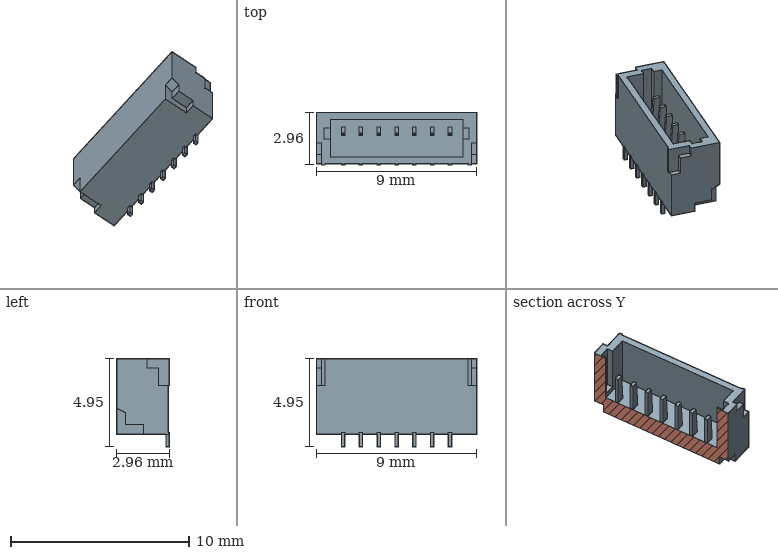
import cadquery as cq

LENGTH = 9.0
DEPTH = 2.9
HEIGHT = 4.25
BACK = DEPTH / 2
FRONT = -DEPTH / 2
OVERLAP = 0.09

END_WALL = 0.78
BACK_WALL = 0.405
FRONT_WALL = 0.405
CAVITY_FLOOR = 1.215

KEYWAY_END_WALL = 0.43
KEYWAY_BACK = 0.89
KEYWAY_WIDTH = 0.6
KEYWAY_FLOOR = 1.5

UPPER_RECESS_INSET = 0.3
UPPER_STEP_BACK = 1.71
UPPER_STEP_DROP = 0.51
LOWER_STEP_BACK = 2.36
UPPER_RECESS_DROP = 1.52

PROUD = 0.06
STRIP_WIDTH = 0.19

LOWER_RECESS_INSET = 0.6
BEVEL_TOP = 1.47
BEVEL_BOTTOM = 1.215
LOWER_RECESS_DEPTH = 0.49
FOOT_RECESS_DEPTH = 1.49
FOOT_RECESS_HEIGHT = 0.54

PIN_COUNT = 7
PIN_WIDTH = 0.2
END_TO_PIN = 1.5
PIN_PITCH = (LENGTH - 2 * END_TO_PIN) / (PIN_COUNT - 1)
PIN_BACK = 0.82
PIN_ROOT_DEPTH = 0.48
PIN_TIP_DEPTH = 0.35
PIN_TOP = 3.0

LEAD_THICKNESS = 0.2
LEAD_TOP = 0.11
LEAD_DROP = 0.7


def box(x_min, x_max, y_min, y_max, z_min, z_max):
    """Box given by its limits along each axis."""
    size = (x_max - x_min, y_max - y_min, z_max - z_min)
    return cq.Workplane("XY").box(*size, centered=False).translate((x_min, y_min, z_min))


def side_profile(points, x_min, x_max):
    """Prism along X from a (Y, Z) outline."""
    return cq.Workplane("YZ", origin=(x_min, 0, 0)).polyline(points).close().extrude(x_max - x_min)


def both_ends(solid):
    """The solid at the -X end together with its mirror image at the +X end."""
    return solid.union(solid.mirror("YZ"))


def cavity():
    half = LENGTH / 2 - END_WALL
    key_half = LENGTH / 2 - KEYWAY_END_WALL
    key_y = BACK - KEYWAY_BACK
    top = HEIGHT + OVERLAP
    main = box(-half, half, FRONT + FRONT_WALL, BACK - BACK_WALL, CAVITY_FLOOR, top)
    keyways = box(-key_half, key_half, key_y - KEYWAY_WIDTH, key_y, KEYWAY_FLOOR, top)
    return main.union(keyways)


def upper_recess():
    step_y = BACK - UPPER_STEP_BACK
    lower_y = BACK - LOWER_STEP_BACK
    outline = [
        (step_y, HEIGHT + OVERLAP),
        (step_y, HEIGHT - UPPER_STEP_DROP),
        (lower_y, HEIGHT - UPPER_STEP_DROP),
        (lower_y, HEIGHT - UPPER_RECESS_DROP),
        (FRONT - OVERLAP, HEIGHT - UPPER_RECESS_DROP),
        (FRONT - OVERLAP, HEIGHT + OVERLAP),
    ]
    return side_profile(outline, -LENGTH / 2 - OVERLAP, -LENGTH / 2 + UPPER_RECESS_INSET)


def lower_recess():
    wall_y = BACK - LOWER_RECESS_DEPTH
    foot_y = BACK - FOOT_RECESS_DEPTH
    outline = [
        (BACK, BEVEL_TOP),
        (wall_y, BEVEL_BOTTOM),
        (wall_y, FOOT_RECESS_HEIGHT),
        (foot_y, FOOT_RECESS_HEIGHT),
        (foot_y, -OVERLAP),
        (BACK + OVERLAP, -OVERLAP),
        (BACK + OVERLAP, BEVEL_TOP),
    ]
    return side_profile(outline, -LENGTH / 2 - OVERLAP, -LENGTH / 2 + LOWER_RECESS_INSET)


def front_strip():
    x_min = -LENGTH / 2 + UPPER_RECESS_INSET
    z_min = HEIGHT - UPPER_RECESS_DROP
    return box(x_min, x_min + STRIP_WIDTH, FRONT - PROUD, FRONT + OVERLAP, z_min, HEIGHT)


def contact(x):
    """Pin whose front face tapers up from the cavity floor, and its solder lead, centred at x."""
    x_min = x - PIN_WIDTH / 2
    x_max = x + PIN_WIDTH / 2
    pin_y = BACK - PIN_BACK
    root_z = CAVITY_FLOOR - OVERLAP
    outline = [
        (pin_y, root_z),
        (pin_y, PIN_TOP),
        (pin_y - PIN_TIP_DEPTH, PIN_TOP),
        (pin_y - PIN_ROOT_DEPTH, CAVITY_FLOOR),
        (pin_y - PIN_ROOT_DEPTH, root_z),
    ]
    pin = side_profile(outline, x_min, x_max)
    lead_y = FRONT - PROUD
    lead = box(x_min, x_max, lead_y, lead_y + LEAD_THICKNESS, -LEAD_DROP, LEAD_TOP)
    return pin, lead


result = box(-LENGTH / 2, LENGTH / 2, FRONT, BACK, 0, HEIGHT)
result = result.cut(cavity())
result = result.cut(both_ends(upper_recess()))
result = result.cut(both_ends(lower_recess()))
result = result.union(both_ends(front_strip()))

for index in range(PIN_COUNT):
    pin, lead = contact(-LENGTH / 2 + END_TO_PIN + index * PIN_PITCH)
    result = result.union(pin).union(lead)